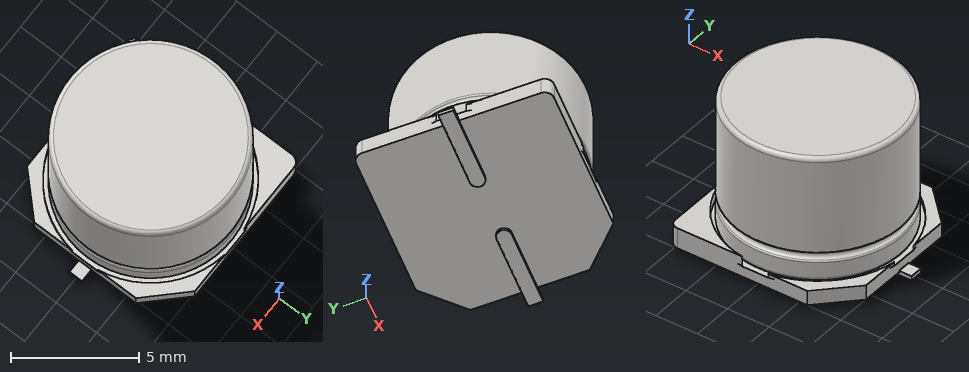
import cadquery as cq
import math

base_side = 8.3
base_bottom = 0.14
base_high_top = 1.13
base_low_top = 0.85
corner_radius = 0.4
corner_chamfer = 1.64

recess_floor = 0.66
recess_radius = 4.2

can_radius = 8.0 / 2
can_top = 6.7
can_edge_radius = 0.2

groove_center_z = 1.86
groove_depth = 0.19
groove_half_height = 0.252
lip_radius = 0.08

lead_span = 9.5
lead_width = 0.64
lead_thickness = 0.22
lead_inner_end = 1.09


def make_base():
    """Square plate, lower on its +X half, with rounded and chamfered corners."""
    half = base_side / 2
    plate = (
        cq.Workplane("XZ", origin=(0, half, 0))
        .moveTo(-half, base_bottom)
        .lineTo(half, base_bottom)
        .lineTo(half, base_low_top)
        .lineTo(0, base_low_top)
        .lineTo(0, base_high_top)
        .lineTo(-half, base_high_top)
        .close()
        .extrude(base_side)
    )
    plate = plate.edges("|Z and <X").fillet(corner_radius)
    plate = plate.edges("|Z and >X").chamfer(corner_chamfer)
    recess = (
        cq.Workplane("XY", origin=(0, 0, recess_floor))
        .circle(recess_radius)
        .extrude(base_high_top - recess_floor)
    )
    return plate.cut(recess)


def make_can():
    """Cylinder with rounded rims and a round-bottomed crimp groove between two lips."""
    can = (
        cq.Workplane("XY", origin=(0, 0, recess_floor))
        .circle(can_radius)
        .extrude(can_top - recess_floor)
        .faces("<Z or >Z")
        .edges()
        .fillet(can_edge_radius)
    )
    arc_angle = 2 * math.atan(groove_depth / groove_half_height)
    groove_radius = groove_half_height / math.sin(arc_angle) - lip_radius
    throat_radius = can_radius - groove_depth
    mouth_radius = can_radius - lip_radius * (1 - math.cos(arc_angle))
    mouth_half_height = groove_radius * math.sin(arc_angle)
    lip_mid_radius = can_radius - lip_radius * (1 - math.cos(arc_angle / 2))
    lip_mid_height = groove_half_height - lip_radius * math.sin(arc_angle / 2)
    groove = (
        cq.Workplane("XZ", origin=(0, 0, groove_center_z))
        .moveTo(can_radius, -groove_half_height)
        .threePointArc((lip_mid_radius, -lip_mid_height), (mouth_radius, -mouth_half_height))
        .threePointArc((throat_radius, 0), (mouth_radius, mouth_half_height))
        .threePointArc((lip_mid_radius, lip_mid_height), (can_radius, groove_half_height))
        .close()
        .revolve(360, (0, 0, 0), (0, 1, 0))
    )
    return can.cut(groove)


def make_lead(side):
    """Flat lead with a half-round inner end; side is -1 or 1 along X."""
    round_center = lead_inner_end + lead_width / 2
    lead_end = lead_span / 2
    strip = (
        cq.Workplane("XY")
        .center(side * (round_center + lead_end) / 2, 0)
        .rect(lead_end - round_center, lead_width)
        .extrude(lead_thickness)
    )
    inner_end = (
        cq.Workplane("XY")
        .center(side * round_center, 0)
        .circle(lead_width / 2)
        .extrude(lead_thickness)
    )
    return strip.union(inner_end)


result = make_base().union(make_can())
for side in (-1, 1):
    result = result.union(make_lead(side))